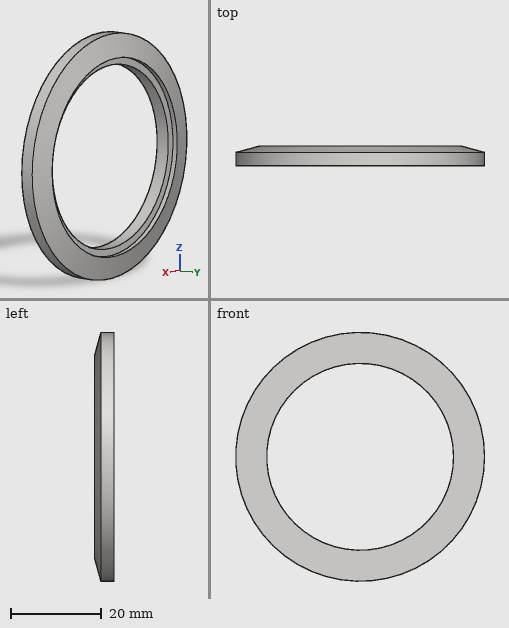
import cadquery as cq

outer_diameter = 55.0
bore_diameter = 41.2
counterbore_diameter = 44.5
thickness = 4.4
bevel_depth = 1.45
counterbore_depth = 1.2

outer_radius = outer_diameter / 2
bore_radius = bore_diameter / 2
counterbore_radius = counterbore_diameter / 2
rim_width = thickness - bevel_depth
counterbore_floor = thickness - counterbore_depth

section = (
    cq.Workplane("XY")
    .moveTo(bore_radius, 0)
    .lineTo(outer_radius, 0)
    .lineTo(outer_radius, rim_width)
    .lineTo(counterbore_radius, thickness)
    .lineTo(counterbore_radius, counterbore_floor)
    .lineTo(bore_radius, counterbore_floor)
    .close()
)

result = section.revolve(360, (0, 0, 0), (0, 1, 0))